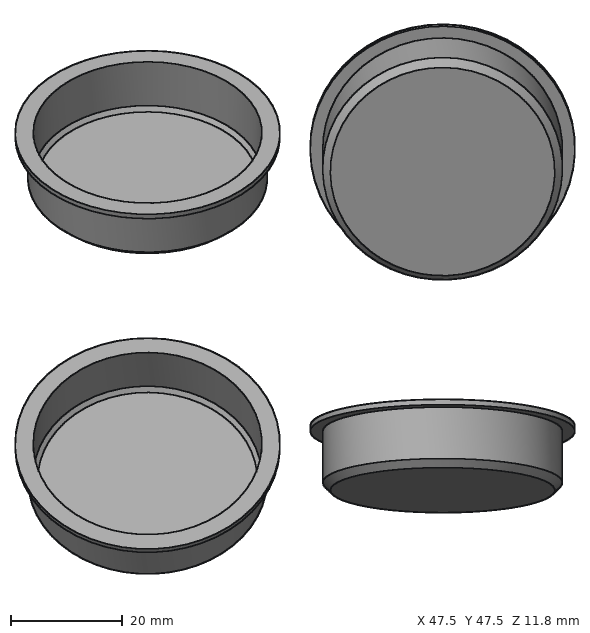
import cadquery as cq

flange_diameter = 47.5
total_height = 11.8
flange_thickness = 1.0

body_diameter = 43.0
bore_diameter = 41.0
wall = (body_diameter - bore_diameter) / 2
floor_thickness = wall

outer_bevel = 1.4
inner_bevel = 0.8


def make_body():
    """Solid plug with a bevelled bottom edge, standing on Z = 0."""
    body = cq.Workplane("XY").circle(body_diameter / 2).extrude(total_height)
    return body.faces("<Z").chamfer(outer_bevel)


def make_flange():
    """Thin rim flush with the top of the cup."""
    base = cq.Workplane("XY").workplane(offset=total_height - flange_thickness)
    return base.circle(flange_diameter / 2).extrude(flange_thickness)


def make_cavity():
    """Interior of the cup, bevelled where the wall meets the floor."""
    base = cq.Workplane("XY").workplane(offset=floor_thickness)
    cavity = base.circle(bore_diameter / 2).extrude(total_height - floor_thickness)
    return cavity.faces("<Z").chamfer(inner_bevel)


result = make_body().union(make_flange()).cut(make_cavity())